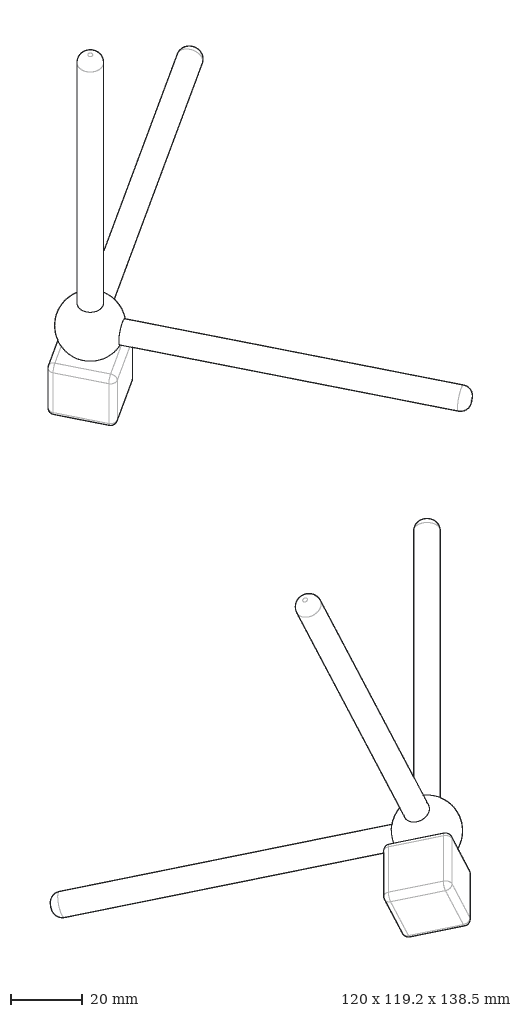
import cadquery as cq
import math

overall_height = 138.5
cube_side = 20.0
cube_fillet = 2.0
ball_diameter = 20.0
rod_diameter = 7.5
rod_tip_fillet = 3.0
x_rod_reach = 110.0

ball_radius = ball_diameter / 2
rod_radius = rod_diameter / 2
seat_distance = math.sqrt(ball_radius**2 - rod_radius**2)

rod_reach = overall_height - cube_side - seat_distance

X_AXIS = cq.Vector(1, 0, 0)
Y_AXIS = cq.Vector(0, 1, 0)
Z_AXIS = cq.Vector(0, 0, 1)

rod_layout = [(X_AXIS, x_rod_reach), (Y_AXIS, rod_reach), (Z_AXIS, rod_reach)]


def make_ball():
    """Ball at the origin with a flat seat for each rod and for the cube."""
    ball = cq.Workplane("XY").sphere(ball_radius)
    for direction in (X_AXIS, Y_AXIS, Z_AXIS, -Z_AXIS):
        seat_plane = cq.Plane(origin=direction * seat_distance, normal=direction)
        beyond_seat = cq.Workplane(seat_plane).circle(ball_radius).extrude(ball_radius)
        ball = ball.cut(beyond_seat)
    return ball


def make_cube():
    """Cube with all edges rounded, its top face against the ball's lower seat."""
    cube_centre_z = -seat_distance - cube_side / 2
    cube = cq.Workplane("XY").box(cube_side, cube_side, cube_side)
    return cube.edges().fillet(cube_fillet).translate((0, 0, cube_centre_z))


def make_rod(direction, reach):
    """Round rod from a ball seat to a rounded tip at the given reach."""
    seat_plane = cq.Plane(origin=direction * seat_distance, normal=direction)
    rod = cq.Workplane(seat_plane).circle(rod_radius).extrude(reach - seat_distance)
    tip_edge = rod.faces(cq.selectors.DirectionMinMaxSelector(direction)).edges()
    return tip_edge.fillet(rod_tip_fillet)


ball = make_ball()
cube = make_cube()
rods = [make_rod(direction, reach) for direction, reach in rod_layout]

result = cq.Compound.makeCompound([ball.val(), cube.val(), *[rod.val() for rod in rods]])